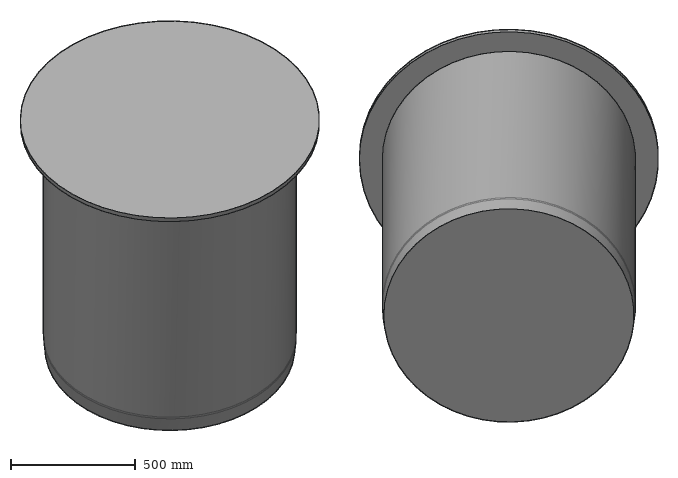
import cadquery as cq
import math

total_height = 1220.0
lid_diameter = 1200.0
lid_thickness = 20.0

body_diameter = 1016.0
taper_angle = math.radians(5)
foot_height = 67.0
bend_height = 10.0

body_height = total_height - lid_thickness
body_radius = body_diameter / 2
bend_top = foot_height + bend_height
bend_radius = bend_height / math.sin(taper_angle)
bend_center_radius = body_radius - bend_radius
taper_top_radius = bend_center_radius + bend_radius * math.cos(taper_angle)
foot_radius = taper_top_radius - foot_height * math.tan(taper_angle)


def make_body():
    """Conical foot, tangent bend and straight wall, revolved into one solid."""
    bend_middle = (
        bend_center_radius + bend_radius * math.cos(taper_angle / 2),
        bend_top - bend_radius * math.sin(taper_angle / 2),
    )
    return (
        cq.Workplane("XZ")
        .lineTo(foot_radius, 0)
        .lineTo(taper_top_radius, foot_height)
        .threePointArc(bend_middle, (body_radius, bend_top))
        .lineTo(body_radius, body_height)
        .lineTo(0, body_height)
        .close()
        .revolve(360, (0, 0, 0), (0, 1, 0))
    )


def make_lid():
    """Flat round lid resting on the top of the body."""
    return (
        cq.Workplane("XY")
        .workplane(offset=body_height)
        .circle(lid_diameter / 2)
        .extrude(lid_thickness)
    )


body = make_body()
lid = make_lid()
result = cq.Compound.makeCompound([body.val(), lid.val()])